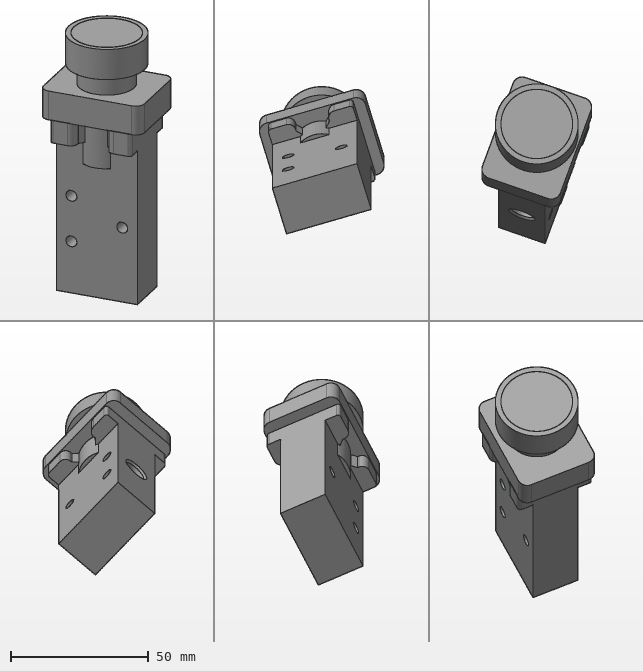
import cadquery as cq

total_height = 101.5
body_top = 61.0
column_bottom = 52.1
plate_bottom = 70.0
plate_top = 81.5
button_bottom = 89.5

body_width = 32.1
body_depth = 18.0

column_diameter = 21.0

flange_depth = 29.4
flange_corner_radius = 1.2
notch_half_width = 6.3
notch_root_half_width = 4.5
notch_root_y = 9.5
notch_lip_radius = 2.7

plate_width = 40.0
plate_depth = 30.0
plate_corner_radius = 3.6
neck_diameter = 21.7
button_diameter = 30.0
button_face_diameter = 26.0
button_face_recess = 0.1

mount_hole_diameter = 4.3
mount_hole_x = 10.0
mount_hole_pitch = 18.1
port_height = 29.5
port_diameter = 8.5
port_mouth_diameter = 10.2
port_depth = 9.1


def cylinder(diameter, bottom, top):
    """Round boss on the Z axis between two levels."""
    return cq.Workplane("XY").workplane(offset=bottom).circle(diameter / 2).extrude(top - bottom)


def block(width, depth, bottom, top):
    """Rectangular block centred on the Z axis between two levels."""
    return cq.Workplane("XY").workplane(offset=bottom).rect(width, depth).extrude(top - bottom)


def notch_cutter():
    """Front notch of the flange: 45 degree inner walls, straight sides and rounded lips."""
    face_y = -flange_depth / 2
    lip_y = face_y + notch_lip_radius
    wall_y = -notch_root_y - (notch_half_width - notch_root_half_width)
    lip_x = notch_half_width + notch_lip_radius
    return (
        cq.Workplane("XY")
        .workplane(offset=body_top)
        .moveTo(-notch_root_half_width, -notch_root_y)
        .lineTo(notch_root_half_width, -notch_root_y)
        .lineTo(notch_half_width, wall_y)
        .lineTo(notch_half_width, lip_y)
        .radiusArc((lip_x, face_y), -notch_lip_radius)
        .lineTo(-lip_x, face_y)
        .radiusArc((-notch_half_width, lip_y), -notch_lip_radius)
        .lineTo(-notch_half_width, wall_y)
        .close()
        .extrude(plate_bottom - body_top)
    )


def notched_flange():
    """Flange as wide as the body, notched at the front and the back."""
    flange = block(body_width, flange_depth, body_top, plate_bottom)
    flange = flange.edges("|Z").fillet(flange_corner_radius)
    front_notch = notch_cutter()
    return flange.cut(front_notch).cut(front_notch.mirror("XZ"))


def push_button():
    """Neck and round button with a slightly sunken face."""
    neck = cylinder(neck_diameter, plate_top, button_bottom)
    button = cylinder(button_diameter, button_bottom, total_height)
    face = cylinder(button_face_diameter, total_height - button_face_recess, total_height)
    return neck.union(button.cut(face))


def mount_holes():
    """Three holes through the body along Y: two on the left, one on the right."""
    half_pitch = mount_hole_pitch / 2
    centres = [
        (-mount_hole_x, port_height - half_pitch),
        (-mount_hole_x, port_height + half_pitch),
        (mount_hole_x, port_height),
    ]
    return (
        cq.Workplane("XZ")
        .pushPoints(centres)
        .circle(mount_hole_diameter / 2)
        .extrude(body_depth, both=True)
    )


def side_port():
    """Blind port from the -X face with a 45 degree countersunk mouth."""
    bore_radius = port_diameter / 2
    mouth_radius = port_mouth_diameter / 2
    face_x = -body_width / 2
    mouth_end_x = face_x + mouth_radius - bore_radius
    return (
        cq.Workplane("XY")
        .polyline([
            (face_x, 0),
            (face_x, mouth_radius),
            (mouth_end_x, bore_radius),
            (face_x + port_depth, bore_radius),
            (face_x + port_depth, 0),
        ])
        .close()
        .revolve(360, (0, 0, 0), (1, 0, 0))
        .translate((0, 0, port_height))
    )


body = block(body_width, body_depth, 0, body_top)
column = cylinder(column_diameter, column_bottom, plate_bottom)
plate = block(plate_width, plate_depth, plate_bottom, plate_top)
plate = plate.edges("|Z").fillet(plate_corner_radius)

result = (
    body.union(notched_flange())
    .union(column)
    .union(plate)
    .union(push_button())
    .cut(mount_holes())
    .cut(side_port())
)